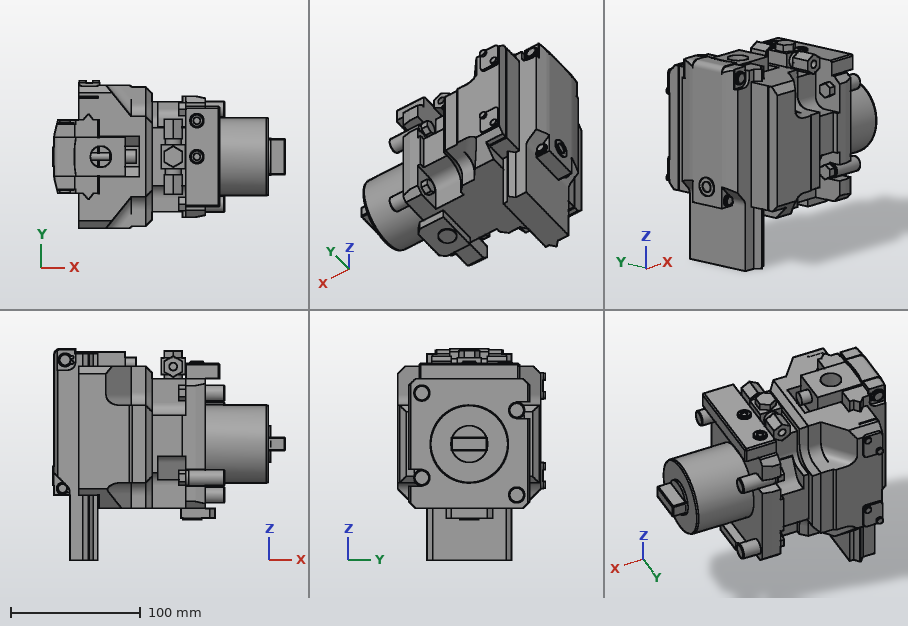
import cadquery as cq
import math


OVER = 9.0
EMBED = 1.8
AXIS_Z = 89.5
LENGTH = 179.0
TOTAL_HEIGHT = 163.0



def block(x, y, z):
    """Box between the (low, high) pairs x, y and z."""
    size = (x[1] - x[0], y[1] - y[0], z[1] - z[0])
    return cq.Workplane("XY").box(*size, centered=False).translate((x[0], y[0], z[0]))


def rod(radius, start, axis, length):
    """Round rod from the point start along the direction axis."""
    return cq.Workplane(cq.Solid.makeCylinder(radius, length, cq.Vector(*start), cq.Vector(*axis)))


def rod_along_x(radius, x, y, z):
    """Round rod over the (low, high) pair x, with its axis at y and z."""
    return rod(radius, (x[0], y, z), (1, 0, 0), x[1] - x[0])


def plan_outline(side, base_z=0):
    """Closed plan outline from its +Y half, listed front to back, and the mirrored -Y half."""
    other_side = [(x, -y) for x, y in reversed(side)]
    return cq.Workplane("XY", origin=(0, 0, base_z)).polyline(side + other_side).close()


def hexagon(plane, origin, radius, length):
    """Hexagonal bar on a named plane with corners along the second axis of the plane."""
    corners = []
    for i in range(6):
        angle = math.pi / 2 + i * math.pi / 3
        corners.append((radius * math.cos(angle), radius * math.sin(angle)))
    return cq.Workplane(plane, origin=origin).polyline(corners).close().extrude(length)


def on_both_sides(shape):
    """The shape together with its mirror image across the middle plane Y = 0."""
    return shape.union(shape.mirror("XZ"))


def with_half_turn(shape):
    """The shape together with its copy turned half a turn about the motor axis."""
    return shape.union(shape.rotate((0, 0, AXIS_Z), (1, 0, AXIS_Z), 180))



BODY_X = (19.9, 76.5)
BODY_TOP = 149.5
BASE_Z = 40.0
BODY_HALF = 55.1
BODY_TOP_CHAMFER = 5.9
BODY_LOW_CHAMFER = 15.0
REAR_HALF = 53.7
REAR_BEVEL_X = (59.0, 61.0)
END_CHAMFER = 5.0

NOTCH_HEIGHT = 29.9
NOTCH_WALL = 31.0
NOTCH_START_X = 41.0
NOTCH_CORNER_X = 60.5
NOTCH_FILLET = 9.8
SLANT_FILLET = 8.0

SLIDE_X = (13.2, 34.7)
SLIDE_HALF = 28.3
SLIDE_TOP = 159.0
VEE_X = (23.3, 27.2, 28.0, 31.3)
VEE_HALF = 32.5
CHANNEL_END_X = 35.6
FRONT_BASE_Z = 50.1

SLIT_Y = 45.7
SLIT_WIDTH = 1.0
SLIT_CAP = 0.9

POCKET_X = (CHANNEL_END_X, 66.8)
POCKET_HALF = 15.5
POCKET_FLOOR = 125.3
POCKET_CHAMFER = 7.7


def slide_outline(front_x, back_x):
    """Plan outline of the slide, with a vee rib along each side."""
    side = [(front_x, SLIDE_HALF), (VEE_X[0], SLIDE_HALF), (VEE_X[1], VEE_HALF),
            (VEE_X[2], VEE_HALF), (VEE_X[3], SLIDE_HALF), (back_x, SLIDE_HALF)]
    return plan_outline(side)


def corner_notch():
    """Cutter for the upper notch on the +Y side: slanted wall, straight wall, rounded floor corners."""
    floor_z = AXIS_Z + NOTCH_HEIGHT
    outside_y = BODY_HALF + OVER
    run_per_rise = (NOTCH_CORNER_X - NOTCH_START_X) / (BODY_HALF - NOTCH_WALL)
    outside_x = NOTCH_START_X - OVER * run_per_rise
    plan = [(outside_x, outside_y), (NOTCH_CORNER_X, NOTCH_WALL), (NOTCH_CORNER_X, outside_y)]
    slanted = cq.Workplane("XY", origin=(0, 0, floor_z)).polyline(plan).close()
    slanted = slanted.extrude(TOTAL_HEIGHT - floor_z)
    middle = ((outside_x + NOTCH_CORNER_X) / 2, (outside_y + NOTCH_WALL) / 2, floor_z)
    slanted = slanted.edges(cq.selectors.NearestToPointSelector(middle)).fillet(SLANT_FILLET)

    straight = block((NOTCH_CORNER_X, BODY_X[1]), (NOTCH_WALL, outside_y), (floor_z, TOTAL_HEIGHT))
    straight = straight.edges("|X and <Y and <Z").fillet(NOTCH_FILLET)
    return slanted.union(straight)


def make_body():
    right = [(BODY_HALF - BODY_LOW_CHAMFER, BASE_Z), (BODY_HALF, BASE_Z + BODY_LOW_CHAMFER),
             (BODY_HALF, BODY_TOP - BODY_TOP_CHAMFER), (BODY_HALF - BODY_TOP_CHAMFER, BODY_TOP)]
    left = [(-y, z) for y, z in reversed(right)]
    section = cq.Workplane("YZ", origin=(BODY_X[0], 0, 0)).polyline(right + left).close()
    body = section.extrude(BODY_X[1] - BODY_X[0])

    side = [(BODY_X[0], BODY_HALF), (REAR_BEVEL_X[0], BODY_HALF),
            (REAR_BEVEL_X[1], REAR_HALF), (BODY_X[1], REAR_HALF)]
    body = body.intersect(plan_outline(side).extrude(TOTAL_HEIGHT))

    body = body.cut(with_half_turn(on_both_sides(corner_notch())))
    rim = cq.selectors.BoxSelector((BODY_X[0], -BODY_HALF, BASE_Z + END_CHAMFER),
                                   (BODY_X[1] + OVER, BODY_HALF, TOTAL_HEIGHT))
    body = body.faces(">X").edges(rim).chamfer(END_CHAMFER)

    body = body.cut(block((0, CHANNEL_END_X), (-BODY_HALF, BODY_HALF), (0, FRONT_BASE_Z)))
    body = body.cut(slide_outline(0, CHANNEL_END_X).extrude(TOTAL_HEIGHT))
    pocket = block(POCKET_X, (-POCKET_HALF, POCKET_HALF), (POCKET_FLOOR, TOTAL_HEIGHT))
    body = body.cut(pocket.edges("|X and <Z").chamfer(POCKET_CHAMFER))

    for side, top in ((1, BODY_TOP), (-1, BODY_TOP - SLIT_CAP)):
        slit_y = (side * SLIT_Y - SLIT_WIDTH / 2, side * SLIT_Y + SLIT_WIDTH / 2)
        body = body.cut(block((BODY_X[0], SLIDE_X[1]), slit_y, (FRONT_BASE_Z, top)))
    return body



PLATE_X = (20.0, 36.3)
PLATE_HEIGHT = 20.5
PLATE_TOPS = (144.5, 75.4)
PLATE_OUTER_Y = 56.8
PLATE_CORNER = 3.0
PLATE_SCREW_X = (23.1, 33.3)
PLATE_SCREW_RADIUS = 2.7
PLATE_SCREW_INSET = 3.0
PLATE_SCREW_Y = 58.5


def make_side_plates():
    plates = cq.Workplane("XY")
    for top in PLATE_TOPS:
        bottom = top - PLATE_HEIGHT
        plate = block(PLATE_X, (BODY_HALF - EMBED, PLATE_OUTER_Y), (bottom, top))
        plates = plates.union(plate.edges("|Y").fillet(PLATE_CORNER))
        screw_heights = (bottom + PLATE_SCREW_INSET, top - PLATE_SCREW_INSET)
        for x, z in zip(PLATE_SCREW_X, screw_heights):
            start = (x, BODY_HALF, z)
            plates = plates.union(rod(PLATE_SCREW_RADIUS, start, (0, 1, 0), PLATE_SCREW_Y - BODY_HALF))
    return plates



COVER_X = (0.9, 17.9)
FLANK_END_X = 16.8
FLANK_TOP = 162.2
COVER_EDGE_X = 4.0
COVER_FILLET = 4.8
COVER_HOLLOW = 1.5
STRIP_HALF = 14.9
SHOULDER_HALF = 18.3
SHOULDER_X = 1.5
FLANK_LOW_Z = 67.3
FLANK_FILLET = 7.7

UPPER_PIN = (9.5, 154.3)
LOWER_PIN = (7.5, 55.3)
UPPER_PIN_RADIUS = 4.1
LOWER_PIN_RADIUS = 3.4
RECESS_X = (3.4, 17.5)
RECESS_LOW_Z = 146.5
RECESS_CORNER = 6.0
RECESS_FLOOR_Y = 25.0
RING_WIDTH = 1.0
RING_THICKNESS = 0.9
PIN_REACH = 2.5
LUG_RADIUS = 1.3
LUG_OFFSET = 2.0

BUTTON_Z = 65.0
BUTTON_RADIUS = 7.3
BUTTON_BORE = 4.1
BUTTON_BORE_DEPTH = 0.5

CLAMP_END_X = 55.7
CLAMP_Z = (136.0, 160.5)
CLAMP_HOLE_X = 37.0
CLAMP_HOLE_RADIUS = 8.0
CROSS_PIN_Z = 143.2
CROSS_PIN_RADIUS = 2.9
CROSS_PIN_END_X = 44.0
CLAMP_SCREW_RADIUS = 5.2
CLAMP_SCREW_LENGTH = 8.6
CLAMP_SCREW_Z = 151.1


def cover_slab(side, top):
    """Upright slab with the given +Y half outline and a rounded front top edge."""
    slab = plan_outline(side, FRONT_BASE_Z).extrude(top - FRONT_BASE_Z)
    return slab.faces("<X").edges(">Z").fillet(COVER_FILLET)


def make_cover():
    side = [(COVER_X[0], STRIP_HALF), (SHOULDER_X, SHOULDER_HALF),
            (COVER_EDGE_X, SLIDE_HALF), (FLANK_END_X, SLIDE_HALF)]
    flanks = cover_slab(side, FLANK_TOP)

    corner_z = FLANK_LOW_Z - (SLIDE_X[0] - COVER_X[0])
    slope = [(COVER_X[0], FLANK_LOW_Z), (SLIDE_X[0], corner_z), (SLIDE_X[0], 0), (COVER_X[0], 0)]
    under = cq.Workplane("XZ", origin=(0, SLIDE_HALF, 0)).polyline(slope).close().extrude(2 * SLIDE_HALF)
    blend_edge = cq.selectors.NearestToPointSelector((SLIDE_X[0], 0, corner_z))
    under = under.edges(blend_edge).fillet(FLANK_FILLET)
    flanks = flanks.cut(under)

    strip_side = [(COVER_X[0], STRIP_HALF), (COVER_X[1], STRIP_HALF)]
    strip = cover_slab(strip_side, TOTAL_HEIGHT)
    hollow = (cq.Workplane("XY", origin=(0, 0, CLAMP_Z[1]))
              .moveTo(COVER_X[1], STRIP_HALF)
              .threePointArc((COVER_X[1] - COVER_HOLLOW, 0), (COVER_X[1], -STRIP_HALF)).close()
              .extrude(OVER))
    return flanks.union(strip.cut(hollow))


def cover_recess():
    """Cutter on the -Y side for the seat around the upper pin, open to the top."""
    recess = block(RECESS_X, (-SLIDE_HALF - OVER, -RECESS_FLOOR_Y), (RECESS_LOW_Z, TOTAL_HEIGHT + OVER))
    return recess.edges("|Y and >X and <Z").fillet(RECESS_CORNER)


def retained_pin(center, radius, seat_y):
    """Pin end on the -Y side held by a retaining ring with two lugs."""
    x, z = center
    inner_y = seat_y - EMBED
    pin = rod(radius, (x, -inner_y, z), (0, -1, 0), PIN_REACH + EMBED)
    pin = pin.union(rod(radius + RING_WIDTH, (x, -inner_y, z), (0, -1, 0), RING_THICKNESS + EMBED))
    for side in (-1, 1):
        lug_at = (x + radius + LUG_RADIUS, -inner_y, z + side * LUG_OFFSET)
        pin = pin.union(rod(LUG_RADIUS, lug_at, (0, -1, 0), RING_THICKNESS + EMBED))
    return pin


def make_button():
    button = rod_along_x(BUTTON_RADIUS, (0, COVER_X[0] + EMBED), 0, BUTTON_Z)
    return button.cut(rod_along_x(BUTTON_BORE, (0, BUTTON_BORE_DEPTH), 0, BUTTON_Z))


def make_slide():
    slide = slide_outline(*SLIDE_X).extrude(SLIDE_TOP)
    clamp = block((COVER_EDGE_X, CLAMP_END_X), (-STRIP_HALF, STRIP_HALF), CLAMP_Z)
    slide = slide.union(make_cover()).union(clamp)

    slide = slide.cut(on_both_sides(cover_recess()))
    for center, radius, seat_y in ((UPPER_PIN, UPPER_PIN_RADIUS, RECESS_FLOOR_Y),
                                   (LOWER_PIN, LOWER_PIN_RADIUS, STRIP_HALF)):
        slide = slide.union(on_both_sides(retained_pin(center, radius, seat_y)))

    hole_height = CLAMP_Z[1] - CLAMP_Z[0]
    slide = slide.cut(rod(CLAMP_HOLE_RADIUS, (CLAMP_HOLE_X, 0, CLAMP_Z[0]), (0, 0, 1), hole_height))
    cross_pin_x = (CLAMP_HOLE_X - CLAMP_HOLE_RADIUS - EMBED, CROSS_PIN_END_X)
    cross_pin = rod_along_x(CROSS_PIN_RADIUS, cross_pin_x, 0, CROSS_PIN_Z)
    clamp_screw_x = (CLAMP_END_X - EMBED, CLAMP_END_X + CLAMP_SCREW_LENGTH)
    clamp_screw = rod_along_x(CLAMP_SCREW_RADIUS, clamp_screw_x, 0, CLAMP_SCREW_Z)
    return slide.union(cross_pin).union(clamp_screw)



HOUSING_END_X = 102.6
HOUSING_TOP = 139.8
HOUSING_HALF = 42.5
HOUSING_NECK = 22.2
HOUSING_STEP = 22.2
HOUSING_FILLET = 9.5

FLANGE_X = (99.9, 117.5)
FLANGE_HALF = 46.7
FLANGE_REAR_HALF = 45.1
FLANGE_TAPER_X = 109.8
FLANGE_CHAMFER = 5.4

RELIEF_X = 81.0
RELIEF_TOP = 80.0
RELIEF_BEND_START = (-36.5, RELIEF_TOP)
RELIEF_BEND_MIDDLE = (-32.2, 78.6)
RELIEF_BEND_END = (-29.4, 75.4)
RELIEF_LOW_Z = 62.0
BOLT_Y = 36.5
OUTER_BOLT_RISE = 39.2
INNER_BOLT_RISE = -26.0
BOLT_HEAD_X = 97.0
BOLT_HEAD_RADIUS = 5.9
BOLT_NECK_RADIUS = 5.7
BOLT_SHANK_X = (104.5, 132.5)
BOLT_SHANK_RADIUS = 6.0
BOLT_END_CHAMFER = 0.7
BOLT_SLOT_HALF = 6.5


def housing_step_cutter():
    """Cutter on the upper +Y corner of the housing with a rounded inner corner."""
    step_z = AXIS_Z + HOUSING_STEP
    cutter = block((BODY_X[1], HOUSING_END_X), (HOUSING_NECK, FLANGE_HALF), (step_z, TOTAL_HEIGHT))
    return cutter.edges("|X and <Y and <Z").fillet(HOUSING_FILLET)


def bolt_relief():
    """Cutter giving access to the inner bolt on the -Y side of the housing."""
    profile = (cq.Workplane("YZ", origin=(RELIEF_X, 0, 0))
               .moveTo(-FLANGE_HALF, RELIEF_TOP).lineTo(*RELIEF_BEND_START)
               .threePointArc(RELIEF_BEND_MIDDLE, RELIEF_BEND_END)
               .lineTo(-HOUSING_NECK, RELIEF_LOW_Z).lineTo(-FLANGE_HALF, RELIEF_LOW_Z).close())
    return profile.extrude(HOUSING_END_X - RELIEF_X)


def make_housing():
    housing = block((BODY_X[1], FLANGE_X[0]), (-HOUSING_HALF, HOUSING_HALF), (BASE_Z, HOUSING_TOP))

    side = [(FLANGE_X[0], FLANGE_HALF), (FLANGE_TAPER_X, FLANGE_HALF), (FLANGE_X[1], FLANGE_REAR_HALF)]
    flange = block(FLANGE_X, (-FLANGE_HALF, FLANGE_HALF), (BASE_Z, HOUSING_TOP))
    flange = flange.edges("|X").chamfer(FLANGE_CHAMFER)
    flange = flange.intersect(plan_outline(side).extrude(TOTAL_HEIGHT))

    housing = housing.union(flange)
    housing = housing.cut(with_half_turn(on_both_sides(housing_step_cutter())))
    housing = housing.cut(with_half_turn(bolt_relief()))

    slot_z = AXIS_Z + INNER_BOLT_RISE
    slot_height = (slot_z - BOLT_SLOT_HALF, slot_z + BOLT_SLOT_HALF)
    slot = block((HOUSING_END_X, FLANGE_X[1]), (-FLANGE_HALF, -BOLT_Y), slot_height)
    return housing.cut(with_half_turn(slot))


def flange_bolt(rise):
    """Bolt along X on the -Y side: hexagon head, neck and thick shank."""
    z = AXIS_Z + rise
    head = hexagon("YZ", (BOLT_HEAD_X, -BOLT_Y, z), BOLT_HEAD_RADIUS, HOUSING_END_X - BOLT_HEAD_X)
    neck = rod_along_x(BOLT_NECK_RADIUS, (HOUSING_END_X, BOLT_SHANK_X[0]), -BOLT_Y, z)
    shank = rod_along_x(BOLT_SHANK_RADIUS, BOLT_SHANK_X, -BOLT_Y, z)
    return shank.faces(">X").chamfer(BOLT_END_CHAMFER).union(neck).union(head)


def make_bolts():
    return with_half_turn(flange_bolt(OUTER_BOLT_RISE).union(flange_bolt(INNER_BOLT_RISE)))



MOTOR_RADIUS = 30.0
MOTOR_END_X = 166.0
MOTOR_CHAMFER = 1.5
MOTOR_CHAMFER_DEPTH = 0.5
COLLAR_RADIUS = 14.1
COLLAR_END_X = 167.8
TANG_HALF_WIDTH = 14.0
TANG_HALF_HEIGHT = 5.2
TANG_CHAMFER = 0.7


def make_motor():
    profile = [(FLANGE_X[1] - EMBED, 0), (FLANGE_X[1] - EMBED, MOTOR_RADIUS),
               (MOTOR_END_X - MOTOR_CHAMFER, MOTOR_RADIUS),
               (MOTOR_END_X, MOTOR_RADIUS - MOTOR_CHAMFER_DEPTH),
               (MOTOR_END_X, COLLAR_RADIUS), (COLLAR_END_X, COLLAR_RADIUS), (COLLAR_END_X, 0)]
    motor = cq.Workplane("XY").polyline(profile).close().revolve(360, (0, 0, 0), (1, 0, 0))
    motor = motor.translate((0, 0, AXIS_Z))
    tang = block((MOTOR_END_X, LENGTH), (-TANG_HALF_WIDTH, TANG_HALF_WIDTH),
                 (AXIS_Z - TANG_HALF_HEIGHT, AXIS_Z + TANG_HALF_HEIGHT))
    return motor.union(tang.edges("|X or >X").chamfer(TANG_CHAMFER))



MANIFOLD_END_X = 128.7
MANIFOLD_HALF = 38.7
MANIFOLD_TOP = 151.7
MANIFOLD_CHAMFER = 1.3
PLUG_X = 111.0
PLUG_YS = (0.0, 27.8)
PLUG_RADIUS = 5.4
PLUG_RISE = 1.5
PLUG_CHAMFER = 0.9
PLUG_SOCKET = 2.7

PAD_X = (98.7, 125.0)
PAD_LOW_Z = 32.4
PAD_HALF = 17.9
PAD_CHAMFER = 4.1
PAD_BUTTON_X = 107.5
PAD_BUTTON_RADIUS = 7.2
PAD_BUTTON_DROP = 1.0

FITTING_X = 92.7
FITTING_Z = 149.1
FITTING_SIZE = 18.6
FITTING_BLOCK_Z = (142.9, 156.0)
FITTING_POST_RADIUS = 7.0
NUT_RADIUS = 8.0
NUT_TOP = 161.3
NUT_Y = (13.8, 29.0)
FITTING_NECK_RADIUS = 6.0
FITTING_BORE_RADIUS = 3.0
FITTING_BORE_DEPTH = 10.7


def make_manifold():
    manifold = block((HOUSING_END_X, MANIFOLD_END_X), (-MANIFOLD_HALF, MANIFOLD_HALF),
                     (HOUSING_TOP, MANIFOLD_TOP))
    manifold = manifold.edges("(>X and >Z) or (|X and >Z) or (|Z and >X)").chamfer(MANIFOLD_CHAMFER)
    for y in PLUG_YS:
        plug = rod(PLUG_RADIUS, (PLUG_X, y, MANIFOLD_TOP - EMBED), (0, 0, 1), PLUG_RISE + EMBED)
        plug = plug.faces(">Z").chamfer(PLUG_CHAMFER)
        socket = rod(PLUG_SOCKET, (PLUG_X, y, MANIFOLD_TOP), (0, 0, 1), OVER)
        manifold = manifold.union(plug).cut(socket)
    return manifold


def make_foot_pad():
    pad = block(PAD_X, (-PAD_HALF, PAD_HALF), (PAD_LOW_Z, BASE_Z)).edges("|Z and >X").chamfer(PAD_CHAMFER)
    button_low_z = PAD_LOW_Z - PAD_BUTTON_DROP
    return pad.union(rod(PAD_BUTTON_RADIUS, (PAD_BUTTON_X, 0, button_low_z), (0, 0, 1), PAD_BUTTON_DROP + EMBED))


def make_fitting():
    half = FITTING_SIZE / 2
    fitting = block((FITTING_X - half, FITTING_X + half), (-half, half), FITTING_BLOCK_Z)
    post_height = FITTING_BLOCK_Z[1] - HOUSING_TOP
    fitting = fitting.union(rod(FITTING_POST_RADIUS, (FITTING_X, 0, HOUSING_TOP), (0, 0, 1), post_height))
    top_origin = (FITTING_X, 0, FITTING_BLOCK_Z[1])
    fitting = fitting.union(hexagon("XY", top_origin, NUT_RADIUS, NUT_TOP - FITTING_BLOCK_Z[1]))

    nut = hexagon("XZ", (FITTING_X, -NUT_Y[0], FITTING_Z), NUT_RADIUS, NUT_Y[1] - NUT_Y[0])
    neck = rod(FITTING_NECK_RADIUS, (FITTING_X, 0, FITTING_Z), (0, -1, 0), NUT_Y[0] + EMBED)
    bore = rod(FITTING_BORE_RADIUS, (FITTING_X, -NUT_Y[1], FITTING_Z), (0, 1, 0), FITTING_BORE_DEPTH)
    return fitting.union(on_both_sides(nut.union(neck).cut(bore)))



result = make_body()
for component in (make_slide(), make_button(), make_side_plates(), make_housing(),
                  make_bolts(), make_motor(), make_manifold(), make_foot_pad(), make_fitting()):
    result = result.union(component)